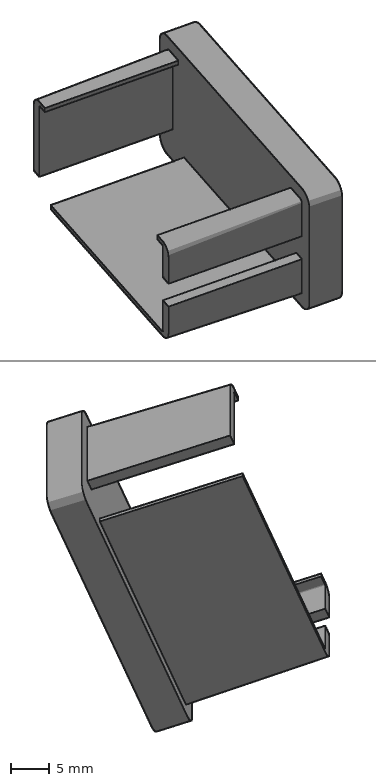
import cadquery as cq
import math

plate_width = 40.0
plate_height = 20.0
plate_thickness = 5.0
plate_corner_radius = 2.0
back_edge_radius = 0.2

wall_length = 20.0
wall_inset = 2.0
lip_width = 3.0
side_thickness = lip_width / 2
floor_thickness = 0.7
left_wall_height = 12.7
right_wall_gap = 3.9
floor_gap = 3.0
inner_corner_radius = 0.25

root_radius = 0.5
tip_radius = side_thickness

wall_x = plate_width / 2 - wall_inset
wall_z = plate_height / 2 - wall_inset
right_wall_height = wall_z - right_wall_gap / 2
floor_width = 2 * wall_x - side_thickness - floor_gap


def make_plate():
    """Rounded cover plate with a softened back edge; its front face is at Y = 0."""
    plate = cq.Workplane("XY").box(plate_width, plate_thickness, plate_height)
    plate = plate.translate((0, plate_thickness / 2, 0))
    plate = plate.edges("|Y").fillet(plate_corner_radius)
    return plate.faces(">Y").edges().fillet(back_edge_radius)


def corner_cutter(side_x, side_z):
    """Material outside the growing corner round; the signs select the corner."""
    corner_x = side_x * wall_x
    corner_z = side_z * wall_z

    def section(y, radius):
        start = cq.Vector(corner_x - side_x * radius, y, corner_z)
        end = cq.Vector(corner_x, y, corner_z - side_z * radius)
        corner = cq.Vector(corner_x, y, corner_z)
        bulge = radius * (1 - math.sqrt(0.5))
        middle = cq.Vector(corner_x - side_x * bulge, y, corner_z - side_z * bulge)
        return cq.Wire.assembleEdges([
            cq.Edge.makeThreePointArc(start, middle, end),
            cq.Edge.makeLine(end, corner),
            cq.Edge.makeLine(corner, start),
        ])

    sections = [section(0, root_radius), section(-wall_length, tip_radius)]
    return cq.Workplane(obj=cq.Solid.makeLoft(sections, True))


def make_angle(side_x, side_z, upright_height, flange_width):
    """L-shaped wall: an upright side and a thin flange meeting at a rounded corner."""
    inner_x = wall_x - side_thickness
    inner_z = wall_z - floor_thickness
    outline = [
        (wall_x, wall_z),
        (wall_x - flange_width, wall_z),
        (wall_x - flange_width, inner_z),
        (inner_x, inner_z),
        (inner_x, wall_z - upright_height),
        (wall_x, wall_z - upright_height),
    ]
    points = [(side_x * x, side_z * z) for x, z in outline]
    angle = cq.Workplane("XZ").polyline(points).close().extrude(wall_length)
    inner_corner = cq.NearestToPointSelector((side_x * inner_x, -wall_length / 2, side_z * inner_z))
    angle = angle.edges("|Y").edges(inner_corner).fillet(inner_corner_radius)
    return angle.cut(corner_cutter(side_x, side_z))


upper_left_wall = make_angle(-1, 1, left_wall_height, lip_width)
upper_right_wall = make_angle(1, 1, right_wall_height, lip_width)
lower_right_wall = make_angle(1, -1, right_wall_height, floor_width)

result = make_plate().union(upper_left_wall).union(upper_right_wall).union(lower_right_wall)